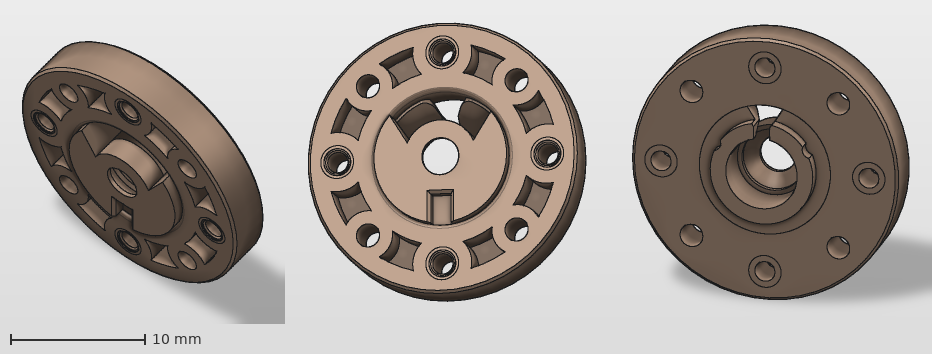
import cadquery as cq
import math


ring_radius = 10.25
ring_thickness = 3.5
ring_chamfer = 0.2
bore_radius = 5.05
bore_front_fillet = 0.3

bolt_circle_radius = 8.0
insert_angles = (0, 90, 180, 270)
plain_hole_angles = (45, 135, 225, 315)
insert_radius = 1.25
plain_hole_radius = 0.875

pocket_inner_radius = 6.6
pocket_outer_radius = 8.75
pocket_wall = 1.0
pocket_depth = ring_thickness - pocket_wall

insert_hole_radius = 0.77
insert_chamfer = 0.13
insert_recess_radius = 1.02
insert_recess_depth = 0.1

core_front_overhang = 0.7
core_back_overhang = 1.0
core_front = -core_front_overhang
core_back = ring_thickness + core_back_overhang
core_length = core_back - core_front
boss_radius = 3.95

hub_radius = 2.75
hub_length = 1.8
hub_wall = 0.35
hub_cavity_radius = hub_radius - hub_wall
hub_cone_end = 1.4
axle_radius = 1.4

recess_half_angle = 32.0
flare_slope = math.tan(math.radians(recess_half_angle))
recess_apex_z = -2.93
recess_ledge_radius = 4.84
recess_ledge_depth = 2.1
recess_hub_depth = 4.6

slot_half_width = 0.62
slot_flare_z = 3.65
slot_flare_fillet = 0.7

key_half_width = 1.02
key_top_z = -2.56
key_depth = 1.05
key_chamfer = 0.25

notch_radius = 0.65
notch_centre_radius = 4.35
notch_angles = (29.5, 150.5)


def disc(radius, start, length):
    """Cylinder on the Y axis from Y = start."""
    return cq.Workplane("XZ", origin=(0, start, 0)).circle(radius).extrude(-length)


def polar(radius, angle):
    """Point in the XZ plane; the angle is in degrees from +X towards +Z."""
    return (radius * math.cos(math.radians(angle)), radius * math.sin(math.radians(angle)))


def rod(radius, centre, start, length):
    """Cylinder parallel to Y around a point of the XZ plane."""
    x, z = centre
    return disc(radius, start, length).translate((x, 0, z))


def revolved(profile):
    """Solid of revolution about Y from (radius, y) points."""
    return cq.Workplane("XY").polyline(profile).close().revolve(360, (0, 0, 0), (0, 1, 0))


def prism(outline, start, length):
    """Prism along Y from (x, z) points."""
    return cq.Workplane("XZ", origin=(0, start, 0)).polyline(outline).close().extrude(-length)


def make_pocket_band():
    """Annular band cut into eight pockets by the walls kept around the holes."""
    band = disc(pocket_outer_radius, 0, pocket_depth).cut(disc(pocket_inner_radius, 0, pocket_depth))
    for angle in insert_angles:
        band = band.cut(rod(insert_radius + pocket_wall, polar(bolt_circle_radius, angle), 0, pocket_depth))
    for angle in plain_hole_angles:
        band = band.cut(rod(plain_hole_radius + pocket_wall, polar(bolt_circle_radius, angle), 0, pocket_depth))
    return band


def make_ring():
    ring = disc(ring_radius, 0, ring_thickness).edges().chamfer(ring_chamfer)
    ring = ring.cut(disc(bore_radius, 0, ring_thickness))
    ring = ring.faces("<Y").edges(cq.selectors.RadiusNthSelector(0)).fillet(bore_front_fillet)
    for angle in insert_angles:
        ring = ring.cut(rod(insert_radius, polar(bolt_circle_radius, angle), 0, ring_thickness))
    for angle in plain_hole_angles:
        ring = ring.cut(rod(plain_hole_radius, polar(bolt_circle_radius, angle), 0, ring_thickness))
    return ring.cut(make_pocket_band())


def make_insert(angle):
    x, z = polar(bolt_circle_radius, angle)
    profile = [
        (insert_radius, 0),
        (insert_recess_radius, 0),
        (insert_recess_radius, insert_recess_depth),
        (insert_hole_radius + insert_chamfer, insert_recess_depth),
        (insert_hole_radius, insert_recess_depth + insert_chamfer),
        (insert_hole_radius, ring_thickness),
        (insert_radius, ring_thickness),
    ]
    return revolved(profile).translate((x, 0, z))


def make_recess():
    """V-shaped opening around the hub, down to a ledge and a funnel-shaped floor."""
    half_axis = -recess_apex_z * flare_slope
    half_top = (ring_radius - recess_apex_z) * flare_slope
    outline = [(-half_axis, 0), (half_axis, 0), (half_top, ring_radius), (-half_top, ring_radius)]
    wedge = prism(outline, core_front, core_length)
    space = revolved([
        (hub_radius, core_front),
        (ring_radius, core_front),
        (ring_radius, core_front + recess_ledge_depth),
        (recess_ledge_radius, core_front + recess_ledge_depth),
        (hub_radius, core_front + recess_hub_depth),
    ])
    return wedge.intersect(space)


def make_slot():
    """Slot from the hub outwards, straight and then flaring."""
    half_top = slot_half_width + (ring_radius - slot_flare_z) * flare_slope
    outline = [
        (-slot_half_width, 0),
        (slot_half_width, 0),
        (slot_half_width, slot_flare_z),
        (half_top, ring_radius),
        (-half_top, ring_radius),
        (-slot_half_width, slot_flare_z),
    ]
    return prism(outline, core_front, core_length).cut(disc(hub_radius, core_front, core_length))


def make_flare_rounding():
    """Waste removed to round the edge between the ledge and one flared side of the slot."""
    angle = math.radians(recess_half_angle)
    along_flare = cq.Vector(math.sin(angle), 0, math.cos(angle))
    into_ledge = cq.Vector(math.cos(angle), 0, -math.sin(angle))
    corner = cq.Vector(slot_half_width, core_front + recess_ledge_depth, slot_flare_z)
    return (
        cq.Workplane(cq.Plane(corner, into_ledge, along_flare))
        .moveTo(0, slot_flare_fillet)
        .radiusArc((slot_flare_fillet, 0), -slot_flare_fillet)
        .lineTo(0, 0)
        .close()
        .extrude(bore_radius)
    )


def make_hub_hollow():
    """Axle hole, conical widening, cup and the chamber open at the back."""
    return revolved([
        (0, core_front),
        (axle_radius, core_front),
        (axle_radius, core_front + hub_wall),
        (hub_cavity_radius, core_front + hub_cone_end),
        (hub_cavity_radius, core_front + hub_length),
        (hub_radius, core_front + hub_length),
        (hub_radius, core_back),
        (0, core_back),
    ])


def make_key_pocket():
    """Pocket open at the bottom, with chamfered top and side edges."""
    inner_half = key_half_width - key_chamfer
    inner_top = key_top_z - key_chamfer

    def outline(half, top):
        return [(-half, -ring_radius), (half, -ring_radius), (half, top), (-half, top)]

    mouth = (
        cq.Workplane("XZ", origin=(0, core_front, 0))
        .polyline(outline(key_half_width, key_top_z)).close()
        .workplane(offset=-key_chamfer)
        .polyline(outline(inner_half, inner_top)).close()
        .loft(ruled=True)
    )
    return mouth.union(prism(outline(inner_half, inner_top), core_front, key_depth))


def make_core():
    core = disc(bore_radius, core_front, core_length - core_back_overhang)
    core = core.union(disc(boss_radius, core_front, core_length))
    core = core.cut(make_recess()).cut(make_slot()).cut(make_key_pocket())
    core = core.cut(make_hub_hollow())
    rounding = make_flare_rounding()
    core = core.cut(rounding).cut(rounding.mirror("YZ"))
    for angle in notch_angles:
        core = core.cut(rod(notch_radius, polar(notch_centre_radius, angle), ring_thickness, core_back_overhang))
    return core


ring = make_ring()
core = make_core()
inserts = [make_insert(angle) for angle in insert_angles]

result = cq.Compound.makeCompound([ring.val(), core.val(), *[insert.val() for insert in inserts]])